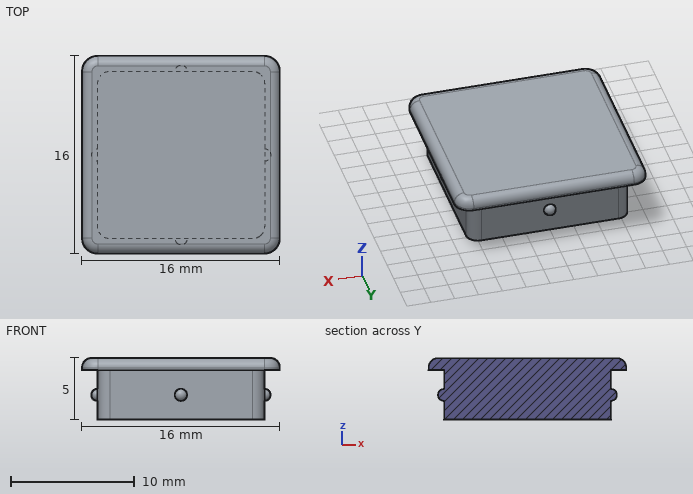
import cadquery as cq

plate_side = 16.0
plate_thickness = 1.0
plate_corner_radius = 1.28
plate_edge_radius = 0.8

total_height = 5.0
plug_side = 13.5
plug_corner_radius = 1.0
plug_height = total_height - plate_thickness

bump_radius = 0.5
bump_height = 2.0


def rounded_square(side, height, corner_radius):
    """Square block standing on Z = 0 with rounded vertical edges."""
    block = cq.Workplane("XY").box(side, side, height, centered=(True, True, False))
    return block.edges("|Z").fillet(corner_radius)


def make_plate():
    plate = rounded_square(plate_side, plate_thickness, plate_corner_radius)
    plate = plate.faces(">Z").edges().fillet(plate_edge_radius)
    return plate.translate((0, 0, plug_height))


def make_bumps():
    face_offset = plug_side / 2
    face_centres = [
        (face_offset, 0, bump_height),
        (-face_offset, 0, bump_height),
        (0, face_offset, bump_height),
        (0, -face_offset, bump_height),
    ]
    return cq.Workplane("XY").pushPoints(face_centres).sphere(bump_radius)


plug = rounded_square(plug_side, plug_height, plug_corner_radius)
result = plug.union(make_plate()).union(make_bumps())